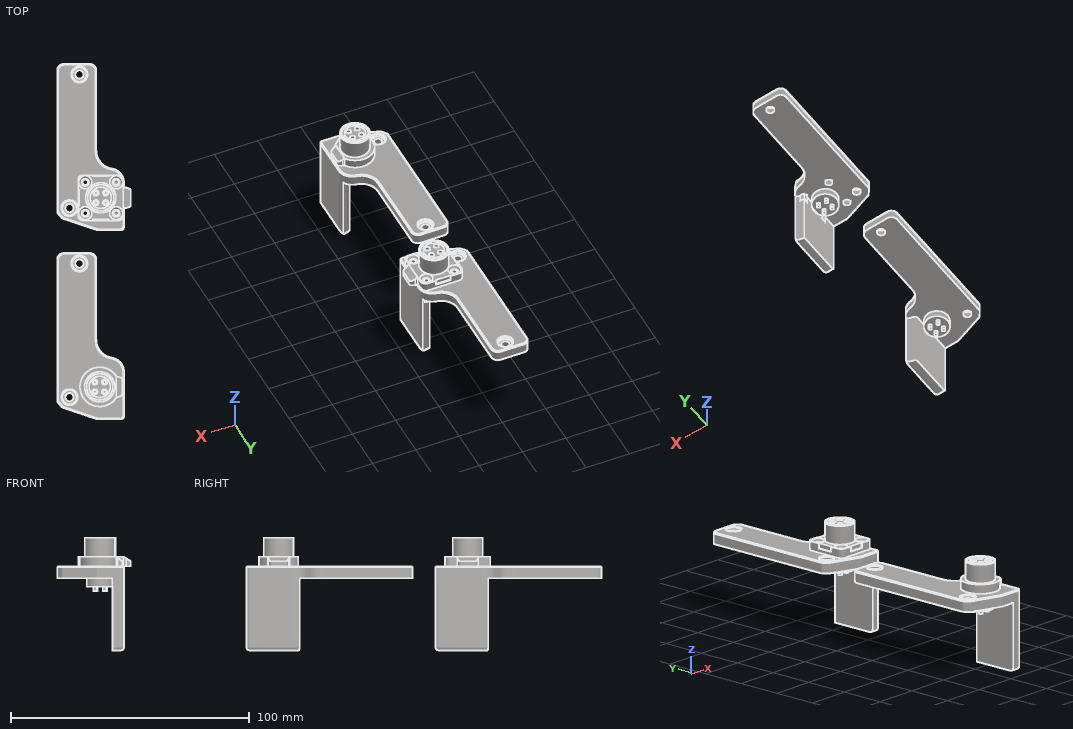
import cadquery as cq
import math

total_height = 47.4
barrel_height = 8.0
flange_height = 4.0
plate_thickness = 5.0
flange_top = total_height - barrel_height
plate_top = flange_top - flange_height
plate_bottom = plate_top - plate_thickness

bracket_length = 69.7
bracket_pitch = 148.9 - bracket_length
bracket_width = 28.1
arm_width = 16.5
corner_radius = 3.0
slope_corner_radius = 1.5
bevel_start_y = 7.5
bevel_end_x = 2.1
bevel_end_y = 4.9
slope_end_x = 16.7
bulge_radius = 6.3
bulge_center_y = 19.7
hollow_radius = 7.5
wall_length = 21.1
wall_edge_radius = 1.5
top_edge_chamfer = 0.5

mount_hole_points = [(9.4, 65.2), (5.2, 9.2)]
mount_hole_diameter = 3.4
mount_bore_diameter = 6.0
mount_bore_depth = 1.5
screw_hole_diameter = 3.1
screw_hole_depth = 8.2
drill_point_angle = 118

connector_y = 13.5
barrel_diameter = 12.7
barrel_bore_diameter = 11.0
barrel_bore_depth = 6.0
insert_diameter = 9.0
contact_offset = 2.03
socket_diameter = 2.2
socket_depth = 4.5
boss_height = 3.5
contact_diameter = 1.5
contact_height = 3.0
tail_length = 1.8

tab_base_half_width = 4.3
tab_tip_half_width = 3.5
tab_taper_length = 2.0
tab_corner_radius = 0.9
tab_drop = 2.0

round_connector_x = 17.9
round_boss_diameter = 11.0
round_flange_diameter = 16.5
round_flat_distance = 6.8
round_tab_length = 2.7
round_wall_thickness = 4.9
round_wall_end_radius = 1.6

square_connector_x = 18.3
square_boss_diameter = 11.5
square_flange_side = 19.0
square_corner_radius = 2.2
square_tab_length = 3.1
square_wall_thickness = 4.5
screw_offset = 6.48
flange_hole_diameter = 2.2
countersink_diameter = 5.5
countersink_floor_diameter = 3.1
countersink_depth = (countersink_diameter - countersink_floor_diameter) / 2
notch_length = 6.8
notch_depth = 0.5
notch_height = 2.2


def disc(x, y, bottom, diameter, height):
    """Upright cylinder standing on the level `bottom`."""
    return cq.Workplane("XY", origin=(x, y, bottom)).circle(diameter / 2).extrude(height)


def square_points(x, y, offset):
    """Four points at the corners of a square centred on (x, y)."""
    return [(x + i * offset, y + j * offset) for i in (-1, 1) for j in (-1, 1)]


def bracket_outline(bottom):
    """Closed bracket outline with an S-shaped step of two tangent arcs on its +X side."""
    bulge_x = bracket_width - bulge_radius
    hollow_x = arm_width + hollow_radius
    center_distance = bulge_radius + hollow_radius
    step_angle = math.acos((hollow_x - bulge_x) / center_distance)
    hollow_center_y = bulge_center_y + center_distance * math.sin(step_angle)

    def bulge_point(angle):
        return (bulge_x + bulge_radius * math.cos(angle), bulge_center_y + bulge_radius * math.sin(angle))

    def hollow_point(angle):
        return (hollow_x + hollow_radius * math.cos(angle), hollow_center_y + hollow_radius * math.sin(angle))

    hollow_mid_angle = (step_angle + 2 * math.pi) / 2
    return (
        cq.Workplane("XY", origin=(0, 0, bottom))
        .moveTo(0, bevel_start_y)
        .lineTo(bevel_end_x, bevel_end_y)
        .lineTo(slope_end_x, 0)
        .lineTo(bracket_width, 0)
        .lineTo(bracket_width, bulge_center_y)
        .threePointArc(bulge_point(step_angle / 2), bulge_point(step_angle))
        .threePointArc(hollow_point(hollow_mid_angle), (arm_width, hollow_center_y))
        .lineTo(arm_width, bracket_length)
        .lineTo(0, bracket_length)
        .close()
    )


def make_bracket(wall_thickness):
    """Flat plate with a wall hanging from its +X side and two counterbored mounting holes.

    The +Y end of the wall is hollowed below the plate to a concave arc.
    """
    plate = bracket_outline(plate_bottom).extrude(plate_thickness)
    corner_radii = {
        (0, bevel_start_y): slope_corner_radius,
        (bevel_end_x, bevel_end_y): slope_corner_radius,
        (slope_end_x, 0): slope_corner_radius,
        (0, bracket_length): corner_radius,
        (arm_width, bracket_length): corner_radius,
    }
    for (x, y), radius in corner_radii.items():
        plate = plate.edges(cq.NearestToPointSelector((x, y, plate_bottom + plate_thickness / 2)))
        plate = plate.fillet(radius)

    wall_x = bracket_width - wall_thickness
    wall_zone = cq.Workplane("XY").box(wall_thickness, bracket_length, plate_top, centered=False)
    wall_zone = wall_zone.translate((wall_x, 0, 0))
    wall = bracket_outline(0).extrude(plate_top).intersect(wall_zone)
    wall = wall.cut(disc(wall_x, wall_length + hollow_radius, 0, 2 * hollow_radius, plate_bottom))
    bracket = plate.union(wall)

    bracket = bracket.edges(cq.NearestToPointSelector((bracket_width, 0, plate_top / 2)))
    bracket = bracket.fillet(wall_edge_radius)
    bracket = bracket.edges(cq.NearestToPointSelector((wall_x + wall_thickness / 2, 0, 0)))
    bracket = bracket.fillet(wall_edge_radius)

    bracket = (
        bracket.faces(">Z")
        .workplane(origin=(0, 0, plate_top))
        .pushPoints(mount_hole_points)
        .cboreHole(mount_hole_diameter, mount_bore_diameter, mount_bore_depth)
    )
    return bracket.faces(">Z").edges().chamfer(top_edge_chamfer)


def boss_recess(x, diameter):
    """Space that a connector boss takes up in the bracket."""
    return disc(x, connector_y, plate_bottom - boss_height, diameter, plate_thickness + boss_height)


def drilled_holes(points):
    """Blind holes with a conical drill point, drilled down from the top of the plate."""
    radius = screw_hole_diameter / 2
    point_depth = radius / math.tan(math.radians(drill_point_angle / 2))
    bottom = plate_top - screw_hole_depth
    profile = (
        cq.Workplane("XZ")
        .moveTo(0, plate_top)
        .lineTo(radius, plate_top)
        .lineTo(radius, bottom)
        .lineTo(0, bottom - point_depth)
        .close()
    )
    drill = profile.revolve(360, (0, 0, 0), (0, 1, 0))
    holes = cq.Workplane("XY")
    for x, y in points:
        holes = holes.union(drill.translate((x, y, 0)))
    return holes


def make_round_bracket():
    """Bracket bored for the round-flange connector."""
    inner_end_edge = (bracket_width - round_wall_thickness, wall_length, plate_bottom / 2)
    bracket = make_bracket(round_wall_thickness)
    bracket = bracket.edges(cq.NearestToPointSelector(inner_end_edge)).fillet(round_wall_end_radius)
    return bracket.cut(boss_recess(round_connector_x, round_boss_diameter))


def make_square_bracket():
    """Bracket bored for the square-flange connector, with its four screw holes."""
    screw_points = square_points(square_connector_x, connector_y, screw_offset)
    bracket = make_bracket(square_wall_thickness)
    bracket = bracket.cut(boss_recess(square_connector_x, square_boss_diameter))
    return bracket.cut(drilled_holes(screw_points))


def connector_tab(base_x, length):
    """Tapered tab that reaches from the flange in +X, with a top that slopes down to its tip."""
    tip_x = base_x + length
    shoulder_x = tip_x - tab_taper_length
    plan = (
        cq.Workplane("XY", origin=(0, connector_y, plate_top))
        .moveTo(base_x, -tab_base_half_width)
        .lineTo(shoulder_x, -tab_base_half_width)
        .lineTo(tip_x, -tab_tip_half_width)
        .lineTo(tip_x, tab_tip_half_width)
        .lineTo(shoulder_x, tab_base_half_width)
        .lineTo(base_x, tab_base_half_width)
        .close()
        .extrude(flange_height)
        .edges("|Z and >X")
        .fillet(tab_corner_radius)
    )
    side_profile = (
        cq.Workplane("XZ", origin=(0, connector_y, 0))
        .moveTo(base_x, plate_top)
        .lineTo(tip_x, plate_top)
        .lineTo(tip_x, flange_top - tab_drop)
        .lineTo(base_x, flange_top)
        .close()
        .extrude(tab_base_half_width, both=True)
    )
    return plan.intersect(side_profile)


def finish_connector(flange, x, boss_diameter):
    """Adds the socket barrel, the boss and the four contacts to a flange."""
    barrel = disc(x, connector_y, flange_top, barrel_diameter, barrel_height)
    boss = disc(x, connector_y, plate_bottom - boss_height, boss_diameter, plate_thickness + boss_height)
    connector = flange.union(barrel).union(boss)

    gap = (
        cq.Workplane("XY", origin=(x, connector_y, total_height))
        .circle(barrel_bore_diameter / 2)
        .circle(insert_diameter / 2)
        .extrude(-barrel_bore_depth)
    )
    connector = connector.cut(gap)

    tail_bottom = plate_bottom - boss_height - tail_length
    socket_floor = total_height - socket_depth
    for contact_x, contact_y in square_points(x, connector_y, contact_offset):
        connector = connector.union(disc(contact_x, contact_y, tail_bottom, contact_diameter, tail_length))
        connector = connector.cut(disc(contact_x, contact_y, total_height, socket_diameter, -socket_depth))
        connector = connector.union(disc(contact_x, contact_y, socket_floor, contact_diameter, contact_height))
    return connector


def make_round_connector():
    """Connector with a round flange cut flat on its tab side."""
    flat_x = round_connector_x + round_flat_distance
    flange = disc(round_connector_x, connector_y, plate_top, round_flange_diameter, flange_height)
    beyond_flat = cq.Workplane("XY").box(
        round_flange_diameter, round_flange_diameter, flange_height, centered=(False, True, False)
    )
    flange = flange.cut(beyond_flat.translate((flat_x, connector_y, plate_top)))
    flange = flange.union(connector_tab(flat_x, round_tab_length))
    return finish_connector(flange, round_connector_x, round_boss_diameter)


def make_square_connector():
    """Connector with a notched square flange held by four countersunk screws."""
    half_side = square_flange_side / 2
    center = (square_connector_x, connector_y, plate_top)
    flange = (
        cq.Workplane("XY", origin=center)
        .rect(square_flange_side, square_flange_side)
        .extrude(flange_height)
        .edges("|Z")
        .fillet(square_corner_radius)
    )

    notch = cq.Workplane("XY").box(2 * notch_depth, notch_length, 2 * notch_height)
    notch = notch.translate((half_side, 0, flange_height))
    for angle in (90, 180, 270):
        flange = flange.cut(notch.rotate((0, 0, 0), (0, 0, 1), angle).translate(center))

    countersink = (
        cq.Workplane("XY")
        .circle(countersink_diameter / 2)
        .workplane(offset=-countersink_depth)
        .circle(countersink_floor_diameter / 2)
        .loft(ruled=True)
    )
    for x, y in square_points(square_connector_x, connector_y, screw_offset):
        flange = flange.cut(countersink.translate((x, y, flange_top)))
        flange = flange.cut(disc(x, y, plate_top, flange_hole_diameter, flange_height))

    flange = flange.union(connector_tab(square_connector_x + half_side, square_tab_length))
    return finish_connector(flange, square_connector_x, square_boss_diameter)


front_station = [make_round_bracket(), make_round_connector()]
rear_station = [make_square_bracket(), make_square_connector()]

bodies = [body.val() for body in front_station]
for body in rear_station:
    bodies.append(body.translate((0, bracket_pitch, 0)).val())

result = cq.Compound.makeCompound(bodies)